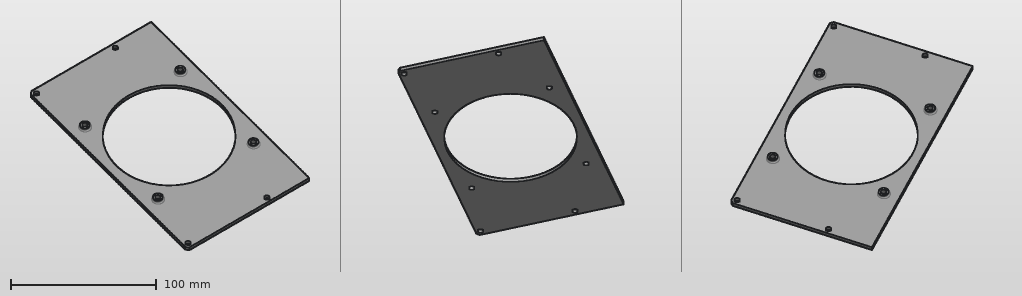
import cadquery as cq

length = 178.6
width = 105.5
total_height = 5.0
boss_height = 2.0
thickness = total_height - boss_height
corner_chamfer = 2.0
opening_diameter = 91.0

boss_offset = 41.3
boss_diameter = 7.0
boss_hole_diameter = 3.8
flare_radius = boss_height / 2

mount_hole_diameter = 3.8
mount_x = 85.5
mount_upper_y = 19.0
mount_lower_y = -49.1


def make_plate():
    """Flat plate with its two -Y corners chamfered and a large round opening."""
    plate = cq.Workplane("XY").box(length, width, thickness, centered=(True, True, False))
    plate = plate.edges("|Z and <Y").chamfer(corner_chamfer)
    return plate.faces(">Z").workplane(origin=(0, 0, thickness)).hole(opening_diameter)


def make_boss(x, y):
    """Round boss with a concave quarter-round flare where it meets the plate."""
    top_radius = boss_diameter / 2
    base_radius = top_radius + flare_radius
    profile = (
        cq.Workplane("XZ")
        .lineTo(base_radius, 0)
        .radiusArc((top_radius, flare_radius), flare_radius)
        .lineTo(top_radius, boss_height)
        .lineTo(0, boss_height)
        .close()
    )
    boss = profile.revolve(360, (0, 0, 0), (0, 1, 0))
    return boss.translate((x, y, thickness))


def make_drills(points, diameter):
    """Cylinders that pass through the full height at the given points."""
    return cq.Workplane("XY").pushPoints(points).circle(diameter / 2).extrude(total_height)


boss_points = [(x, y) for x in (-boss_offset, boss_offset) for y in (-boss_offset, boss_offset)]
mount_points = [(x, y) for x in (-mount_x, mount_x) for y in (mount_lower_y, mount_upper_y)]

result = make_plate()
for boss_x, boss_y in boss_points:
    result = result.union(make_boss(boss_x, boss_y))
result = result.cut(make_drills(boss_points, boss_hole_diameter))
result = result.cut(make_drills(mount_points, mount_hole_diameter))